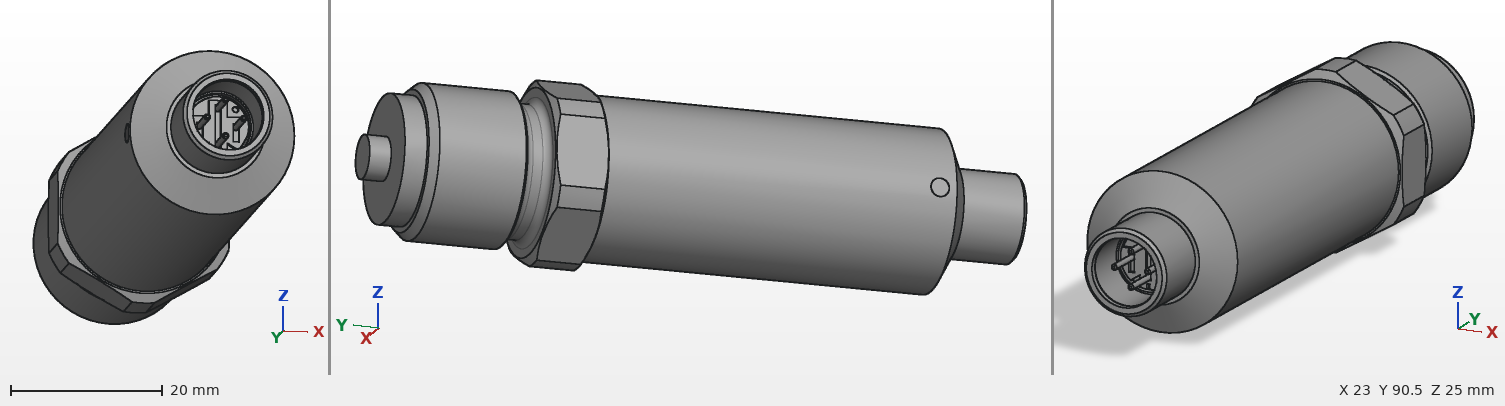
import cadquery as cq
import math

TOTAL_LENGTH = 90.5
PORT_END = TOTAL_LENGTH / 2
PLUG_END = -TOTAL_LENGTH / 2

PIN_DIA = 6.0
PIN_LENGTH = 3.0
COLLAR_DIA = 17.5
COLLAR_LENGTH = 3.1
THREAD_DIA = 21.0
THREAD_LENGTH = 13.2
THREAD_LEAD_DIA = 19.0
THREAD_LEAD_LENGTH = 1.2
THREAD_RUNOUT_DIA = 20.1
THREAD_RUNOUT_LENGTH = 0.4
NECK_DIA = 18.0
NECK_LENGTH = 3.4
NECK_FILLET = (THREAD_RUNOUT_DIA - NECK_DIA) / 2

HEX_FLATS = 23.0
HEX_CORNERS = 25.0
HEX_LENGTH = 7.4
HEX_FACE_DIA = 22.6
HEX_CHAMFER_LENGTH = 0.6

BODY_DIA = 22.1
CONE_LENGTH = 2.4
CONE_END_DIA = 13.2
PLUG_DIA = 12.0
PLUG_LENGTH = 9.05
PLUG_CHAMFER = 0.45

VENT_DIA = 2.5
VENT_DEPTH = 0.1
VENT_SETBACK = 13.85

MOUTH_DIA = 9.5
MOUTH_DEPTH = 0.9
BORE_DIA = 9.4
BORE_DEPTH = 7.2

INSULATOR_DIA = 8.1
INSULATOR_GAP_DIA = 8.9
INSULATOR_GAP_DEPTH = 1.1
RELIEF_DEPTH = 0.5
BRIDGE_WIDTH = 2.4
BRIDGE_TOP = 3.4
SHELF_HEIGHT = 1.3
CORNER_RELIEF_TOP = 2.3
CORNER_RELIEF_REACH = 2.5
CORNER_RELIEF_DROP = 3.1
KEY_WIDTH = 0.45
KEY_RADIUS = 3.35
MARK_HOLE_OFFSET = 2.4

CONTACT_DIA = 0.8
CONTACT_TIP_DIA = 0.4
CONTACT_RADIUS = 2.4
CONTACT_SETBACK = 1.8
STRAP_DROP = 1.6

collar_start = PORT_END - PIN_LENGTH
thread_start = collar_start - COLLAR_LENGTH
thread_end = thread_start - THREAD_LENGTH
runout_end = thread_end - THREAD_RUNOUT_LENGTH
hex_start = runout_end - NECK_LENGTH
hex_end = hex_start - HEX_LENGTH
cone_end = PLUG_END + PLUG_LENGTH
cone_start = cone_end + CONE_LENGTH
floor_y = PLUG_END + BORE_DEPTH
relief_y = floor_y + RELIEF_DEPTH


def plane_at(y):
    """XZ plane at station y; extrusions run towards +Y, local y is Z and local x is -X."""
    return cq.Plane(origin=(0, y, 0), xDir=(-1, 0, 0), normal=(0, 1, 0))


def disc(diameter, y_from, y_to, x=0, z=0):
    """Round bar parallel to Y."""
    return cq.Workplane(plane_at(y_from)).center(-x, z).circle(diameter / 2).extrude(y_to - y_from)


def block(x_min, x_max, z_min, z_max, y_from, y_to):
    return cq.Workplane("XY").box(x_max - x_min, y_to - y_from, z_max - z_min, centered=False).translate(
        (x_min, y_from, z_min)
    )


def revolve_profile(profile):
    return profile.close().revolve(360, (0, 0, 0), (0, 1, 0))


def make_port():
    neck_r = NECK_DIA / 2
    diagonal = NECK_FILLET * (1 - math.sqrt(0.5))
    return revolve_profile(
        cq.Workplane("XY")
        .moveTo(0, PORT_END)
        .lineTo(PIN_DIA / 2, PORT_END)
        .lineTo(PIN_DIA / 2, collar_start)
        .lineTo(COLLAR_DIA / 2, collar_start)
        .lineTo(COLLAR_DIA / 2, thread_start)
        .lineTo(THREAD_LEAD_DIA / 2, thread_start)
        .lineTo(THREAD_DIA / 2, thread_start - THREAD_LEAD_LENGTH)
        .lineTo(THREAD_DIA / 2, thread_end)
        .lineTo(THREAD_RUNOUT_DIA / 2, runout_end)
        .threePointArc((neck_r + diagonal, runout_end - diagonal), (neck_r, runout_end - NECK_FILLET))
        .lineTo(neck_r, hex_start + NECK_FILLET)
        .threePointArc((neck_r + diagonal, hex_start + diagonal), (neck_r + NECK_FILLET, hex_start))
        .lineTo(0, hex_start)
    )


def make_nut():
    hexagon = (
        cq.Workplane(plane_at(hex_end))
        .transformed(rotate=(0, 0, 30))
        .polygon(6, HEX_FLATS / math.cos(math.pi / 6))
        .extrude(HEX_LENGTH)
    )
    envelope = revolve_profile(
        cq.Workplane("XY")
        .moveTo(0, hex_start)
        .lineTo(HEX_FACE_DIA / 2, hex_start)
        .lineTo(HEX_CORNERS / 2, hex_start - HEX_CHAMFER_LENGTH)
        .lineTo(HEX_CORNERS / 2, hex_end + HEX_CHAMFER_LENGTH)
        .lineTo(HEX_FACE_DIA / 2, hex_end)
        .lineTo(0, hex_end)
    )
    return hexagon.intersect(envelope)


def make_body():
    body = revolve_profile(
        cq.Workplane("XY")
        .moveTo(0, hex_end)
        .lineTo(BODY_DIA / 2, hex_end)
        .lineTo(BODY_DIA / 2, cone_start)
        .lineTo(CONE_END_DIA / 2, cone_end)
        .lineTo(PLUG_DIA / 2, cone_end)
        .lineTo(PLUG_DIA / 2, PLUG_END + PLUG_CHAMFER)
        .lineTo(PLUG_DIA / 2 - PLUG_CHAMFER, PLUG_END)
        .lineTo(0, PLUG_END)
    )
    vent = (
        cq.Workplane("YZ", origin=(-BODY_DIA / 2 + VENT_DEPTH, PLUG_END + VENT_SETBACK, 0))
        .circle(VENT_DIA / 2)
        .extrude(-BODY_DIA / 2)
    )
    return body.cut(vent)


def make_socket():
    return disc(MOUTH_DIA, PLUG_END, PLUG_END + MOUTH_DEPTH).union(disc(BORE_DIA, PLUG_END, floor_y))


def make_insulator_gap():
    """Ring-shaped gap around the insulator."""
    gap_end = floor_y + INSULATOR_GAP_DEPTH
    return disc(INSULATOR_GAP_DIA, floor_y, gap_end).cut(disc(INSULATOR_DIA, floor_y, gap_end))


def make_insulator_reliefs():
    """Shallow pockets in the insulator face, as one cutter."""
    face = disc(INSULATOR_DIA, floor_y, relief_y)
    half_dia = INSULATOR_DIA / 2
    half_bridge = BRIDGE_WIDTH / 2

    upper = block(-half_dia, half_dia, SHELF_HEIGHT, half_dia, floor_y, relief_y)
    bridge = block(-half_bridge, half_bridge, SHELF_HEIGHT, BRIDGE_TOP, floor_y, relief_y)
    key = block(-KEY_WIDTH / 2, KEY_WIDTH / 2, -half_dia, -KEY_RADIUS, floor_y, relief_y)
    reliefs = upper.cut(bridge).union(key)
    for side in (-1, 1):
        corner = (
            cq.Workplane(plane_at(floor_y))
            .moveTo(side * half_bridge, -CORNER_RELIEF_TOP)
            .lineTo(side * CORNER_RELIEF_REACH, -CORNER_RELIEF_DROP)
            .lineTo(side * CORNER_RELIEF_REACH, -half_dia)
            .lineTo(side * half_bridge, -half_dia)
            .close()
            .extrude(RELIEF_DEPTH)
        )
        reliefs = reliefs.union(corner)
    return reliefs.intersect(face)


def make_strap_slot(x, z_top, z_bottom):
    """Square-ended slot that encloses the contacts standing at its ends."""
    half = CONTACT_DIA / 2
    return block(x - half, x + half, z_bottom - half, z_top + half, floor_y, relief_y)


def make_contact(x, z):
    tip_y = PLUG_END + CONTACT_SETBACK
    tip_chamfer = (CONTACT_DIA - CONTACT_TIP_DIA) / 2
    contact = disc(CONTACT_DIA, tip_y, relief_y + RELIEF_DEPTH, x, z)
    return contact.faces("<Y").chamfer(tip_chamfer)


result = make_port().union(make_nut()).union(make_body())
result = result.cut(make_socket()).cut(make_insulator_gap()).cut(make_insulator_reliefs())

result = result.cut(make_strap_slot(0, CONTACT_RADIUS, -CONTACT_RADIUS))
for side_x in (-CONTACT_RADIUS, CONTACT_RADIUS):
    result = result.cut(make_strap_slot(side_x, 0, -STRAP_DROP))

mark_hole = disc(CONTACT_DIA, relief_y, relief_y + RELIEF_DEPTH, MARK_HOLE_OFFSET, MARK_HOLE_OFFSET)
result = result.cut(mark_hole)

for quarter in range(4):
    angle = quarter * math.pi / 2
    result = result.union(make_contact(CONTACT_RADIUS * math.cos(angle), CONTACT_RADIUS * math.sin(angle)))